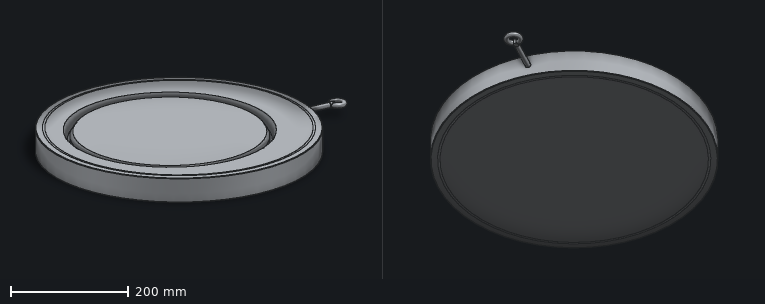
import cadquery as cq
import math

body_diameter = 491.0
overall_height = 45.5
rim_chamfer = 1.0

seal_radius = 231.0
seal_width = 4.0
seal_rise = 0.5

seat_offset_y = -19.0
seat_top_radius = 182.0
seat_bottom_radius = 175.0
seat_depth = 17.5
flap_diameter = 342.0
flap_top_radius = 165.5
flap_recess = 3.0
flap_bevel_height = 8.0

overall_length = 585
rod_diameter = 10.0
rod_root_inset = 6.0
ring_tube_diameter = 10.0
ring_radius = 11.5
tongue_width = 11.5
tongue_half_angle = 20

body_radius = body_diameter / 2
face_z = overall_height / 2 - seal_rise
seat_floor_z = face_z - seat_depth
ring_outer_radius = ring_radius + ring_tube_diameter / 2
ring_centre_y = overall_length - body_radius - ring_outer_radius
ring_start_y = ring_centre_y - ring_outer_radius


def make_body():
    """Flat disc centred on the origin, with both rims chamfered."""
    disc = cq.Workplane("XY", origin=(0, 0, -face_z)).circle(body_radius).extrude(2 * face_z)
    return disc.faces("|Z").edges().chamfer(rim_chamfer)


def cut_seat(body):
    """Blind conical seat narrowing downwards from the upper face."""
    seat = cq.Solid.makeCone(
        seat_bottom_radius,
        seat_top_radius,
        seat_depth,
        pnt=cq.Vector(0, seat_offset_y, seat_floor_z),
    )
    return body.cut(cq.Workplane(seat))


def make_flap():
    """Round flap with a bevelled upper edge, standing on the seat floor."""
    flap_height = seat_depth - flap_recess
    flap_radius = flap_diameter / 2
    section = (
        cq.Workplane("XZ", origin=(0, seat_offset_y, seat_floor_z))
        .lineTo(flap_radius, 0)
        .lineTo(flap_radius, flap_height - flap_bevel_height)
        .lineTo(flap_top_radius, flap_height)
        .lineTo(0, flap_height)
        .close()
    )
    return section.revolve(360, (0, 0, 0), (0, 1, 0))


def make_seal(side):
    """Bead of circular-arc section on the upper (side = 1) or lower (side = -1) face."""
    inner_radius = seal_radius - seal_width / 2
    outer_radius = seal_radius + seal_width / 2
    root_z = side * (face_z - seal_rise)
    section = (
        cq.Workplane("XZ")
        .moveTo(inner_radius, side * face_z)
        .threePointArc((seal_radius, side * (face_z + seal_rise)), (outer_radius, side * face_z))
        .lineTo(outer_radius, root_z)
        .lineTo(inner_radius, root_z)
        .close()
    )
    return section.revolve(360, (0, 0, 0), (0, 1, 0))


def make_rod():
    """Round rod along +Y from inside the rim to the outside of the ring."""
    root_y = body_radius - rod_root_inset
    profile = cq.Workplane("XZ", origin=(0, root_y, 0)).circle(rod_diameter / 2)
    return profile.extrude(root_y - ring_start_y)


def make_ring():
    """Ring lying flat, open over the tongue angle on the side facing the rod."""
    sweep_angle = 360 - 2 * tongue_half_angle
    first_end_angle = tongue_half_angle - 90
    ring = (
        cq.Workplane("XZ")
        .center(ring_radius, 0)
        .circle(ring_tube_diameter / 2)
        .revolve(sweep_angle, (-ring_radius, 0, 0), (-ring_radius, 1, 0))
    )
    return ring.rotate((0, 0, 0), (0, 0, 1), first_end_angle).translate((0, ring_centre_y, 0))


def make_tongue():
    """Oval bar across the ring gap, tapered in plan by a wedge centred on the ring axis."""
    wedge_half_width = ring_outer_radius * math.tan(math.radians(tongue_half_angle))
    wedge = (
        cq.Workplane("XY", origin=(0, ring_centre_y, 0))
        .lineTo(-wedge_half_width, -ring_outer_radius)
        .lineTo(wedge_half_width, -ring_outer_radius)
        .close()
        .extrude(ring_tube_diameter, both=True)
    )
    bar = (
        cq.Workplane("XZ", origin=(0, ring_start_y, 0))
        .ellipse(tongue_width / 2, ring_tube_diameter / 2)
        .extrude(-ring_tube_diameter)
    )
    return bar.intersect(wedge)


result = cut_seat(make_body()).union(make_flap())
for face_side in (1, -1):
    result = result.union(make_seal(face_side))
for eye_part in (make_rod(), make_tongue(), make_ring()):
    result = result.union(eye_part)